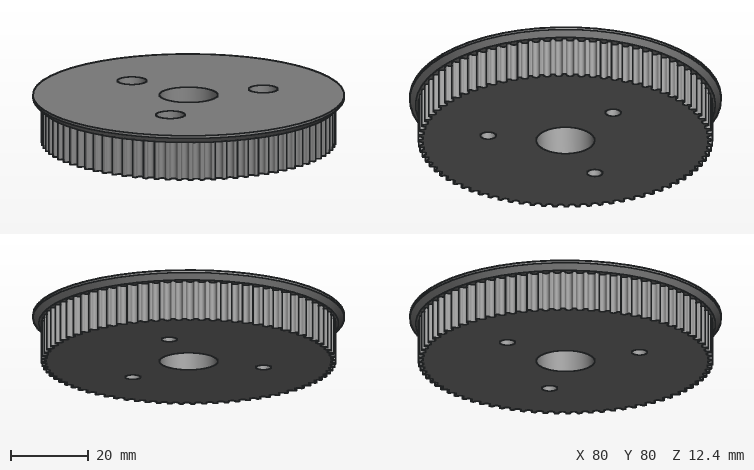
import cadquery as cq
import math

tooth_count = 80
belt_pitch = 3.0
pitch_line_offset = 0.381
belt_width = 10.2
tip_radius = tooth_count * belt_pitch / (2 * math.pi) - pitch_line_offset

groove_depth = 1.289
groove_mouth_half_width = 1.235
lip_half_width = 0.968
lip_depth = 0.207
flank_half_width = 0.889
flank_depth = 0.580
lip_bulge = 0.061

flange_radius = 40.0
cone_height = 1.5
rim_height = 0.7
total_height = belt_width + cone_height + rim_height
cone_bottom_radius = flange_radius - cone_height

bore_diameter = 15.0
screw_count = 3
screw_circle_radius = 20.0
first_screw_angle = 90.0
screw_hole_diameter = 4.0
counterbore_diameter = 7.5
counterbore_depth = 4.0


def groove_point(angle, depth, across):
    """Point in the groove at the given angle, at a depth below the mouth chord and an offset across it."""
    mouth_distance = math.sqrt(tip_radius**2 - groove_mouth_half_width**2)
    along = mouth_distance - depth
    x = along * math.cos(angle) - across * math.sin(angle)
    y = along * math.sin(angle) + across * math.cos(angle)
    return x, y


def make_toothed_wheel():
    """Belt wheel outlined counterclockwise, with one groove centred on the +X axis."""
    tooth_angle = 2 * math.pi / tooth_count
    outline = cq.Workplane("XY").moveTo(*groove_point(0, 0, -groove_mouth_half_width))
    for index in range(tooth_count):
        angle = index * tooth_angle
        root_bottom = groove_point(angle, groove_depth, 0)
        root_end = groove_point(angle, flank_depth, flank_half_width)
        land_middle_angle = angle + tooth_angle / 2
        land_middle = (tip_radius * math.cos(land_middle_angle), tip_radius * math.sin(land_middle_angle))
        next_mouth = groove_point(angle + tooth_angle, 0, -groove_mouth_half_width)
        outline = (
            outline
            .sagittaArc(groove_point(angle, lip_depth, -lip_half_width), -lip_bulge)
            .lineTo(*groove_point(angle, flank_depth, -flank_half_width))
            .threePointArc(root_bottom, root_end)
            .lineTo(*groove_point(angle, lip_depth, lip_half_width))
            .sagittaArc(groove_point(angle, 0, groove_mouth_half_width), -lip_bulge)
            .threePointArc(land_middle, next_mouth)
        )
    return outline.close().extrude(belt_width)


def make_flange():
    """Flange that keeps the belt on the wheel."""
    return (
        cq.Workplane("XZ")
        .moveTo(0, belt_width)
        .lineTo(cone_bottom_radius, belt_width)
        .lineTo(flange_radius, belt_width + cone_height)
        .lineTo(flange_radius, total_height)
        .lineTo(0, total_height)
        .close()
        .revolve(360, (0, 0, 0), (0, 1, 0))
    )


def cut_holes(body):
    """Centre bore and the screw holes, counterbored from the flange face."""
    top_face = cq.Workplane("XY").workplane(offset=total_height)
    bore = top_face.circle(bore_diameter / 2).extrude(-total_height)
    screw_positions = top_face.polarArray(screw_circle_radius, first_screw_angle, 360, screw_count)
    screw_holes = screw_positions.circle(screw_hole_diameter / 2).extrude(-total_height)
    counterbores = screw_positions.circle(counterbore_diameter / 2).extrude(-counterbore_depth)
    return body.cut(bore).cut(screw_holes).cut(counterbores)


pulley = cut_holes(make_toothed_wheel().union(make_flange()))
result = cq.Workplane(pulley.solids().val())